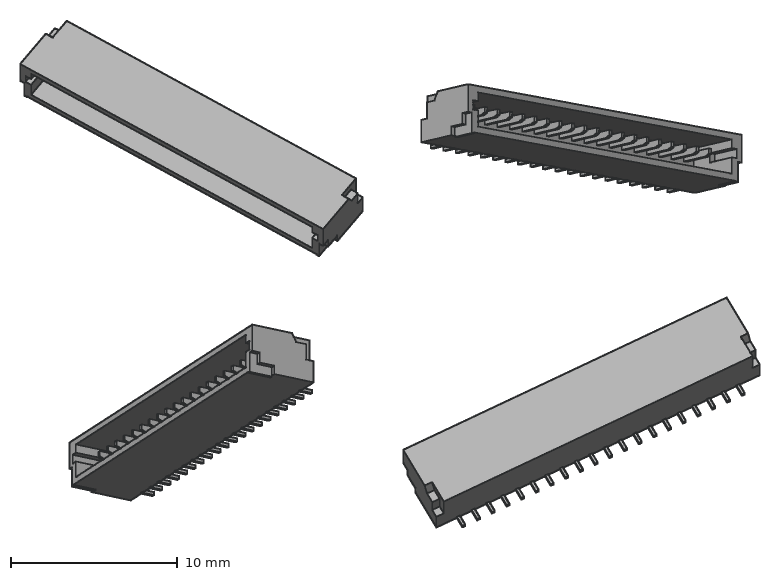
import cadquery as cq

length = 22.0
body_depth = 4.25
standoff = 0.06
top_z = 2.96
tail_reach = 0.70
front_y = -(body_depth + tail_reach) / 2
rear_y = front_y + body_depth
half_length = length / 2

cavity_end_wall = 0.80
cavity_wall = 0.40
rear_wall = 0.80
cavity_depth = body_depth - rear_wall
slot_end_wall = 0.40
slot_top_drop = 0.93
slot_bottom_drop = 1.50
slot_depth = 2.00

relief_width = 0.50
relief_step = 0.53
relief_drop = 1.52
relief_slope_start = 1.20
relief_slope_end = 1.50

pocket_width = 0.50
clip_thickness = 0.20
clip_foot_length = 1.53
clip_foot_height = 0.60
clip_post_length = 0.53
clip_post_height = 1.26

pin_count = 20
pitch = 1.0
pin_width = 0.20
pin_top_drop = 0.87
pin_height = 0.45
pin_tip_height = 0.33
pin_bevel_length = 0.30
pin_tip_setback = 1.20
tail_height = 0.20
tail_embed = 0.10


def block(x_range, y_range, z_range):
    """Axis-aligned box spanning the given ranges."""
    sizes = [high - low for low, high in (x_range, y_range, z_range)]
    corner = (x_range[0], y_range[0], z_range[0])
    return cq.Workplane("XY").box(*sizes, centered=False).translate(corner)


def side_prism(outline, x_start, width):
    """Extrude a (Y, Z) outline along +X from x_start."""
    return cq.Workplane("YZ", origin=(x_start, 0, 0)).polyline(outline).close().extrude(width)


def at_both_ends(shape):
    """Join a feature of the -X end with its mirror image at the +X end."""
    return shape.union(shape.mirror("YZ"))


def make_cavity():
    half_cavity = half_length - cavity_end_wall
    half_slot = half_length - slot_end_wall
    opening = block(
        (-half_cavity, half_cavity),
        (front_y, front_y + cavity_depth),
        (standoff + cavity_wall, top_z - cavity_wall),
    )
    keying_slots = block(
        (-half_slot, half_slot),
        (front_y, front_y + slot_depth),
        (top_z - slot_bottom_drop, top_z - slot_top_drop),
    )
    return opening.union(keying_slots)


def make_rear_relief():
    outline = [
        (rear_y, top_z),
        (rear_y, top_z - relief_drop),
        (rear_y - relief_step, top_z - relief_drop),
        (rear_y - relief_step, top_z - relief_step),
        (rear_y - relief_slope_start, top_z - relief_step),
        (rear_y - relief_slope_end, top_z),
    ]
    return side_prism(outline, -half_length, relief_width)


def make_clip_prism(x_start, width):
    """L-shaped prism shared by the clip and the pocket that holds it."""
    outline = [
        (front_y, 0),
        (front_y + clip_foot_length, 0),
        (front_y + clip_foot_length, clip_foot_height),
        (front_y + clip_post_length, clip_foot_height),
        (front_y + clip_post_length, clip_post_height),
        (front_y, clip_post_height),
    ]
    return side_prism(outline, x_start, width)


def make_pin(x_center):
    x_start = x_center - pin_width / 2
    tip_y = front_y + pin_tip_setback
    root_y = front_y + cavity_depth + rear_wall / 2
    pin_top = top_z - pin_top_drop
    pin_bottom = pin_top - pin_height
    outline = [
        (root_y, pin_top),
        (tip_y, pin_top),
        (tip_y, pin_top - pin_tip_height),
        (tip_y + pin_bevel_length, pin_bottom),
        (root_y, pin_bottom),
    ]
    return side_prism(outline, x_start, pin_width)


def make_tail(x_center):
    return block(
        (x_center - pin_width / 2, x_center + pin_width / 2),
        (rear_y - tail_embed, rear_y + tail_reach),
        (0, tail_height),
    )


housing = block((-half_length, half_length), (front_y, rear_y), (standoff, top_z))
housing = housing.cut(make_cavity())
housing = housing.cut(at_both_ends(make_rear_relief()))
housing = housing.cut(at_both_ends(make_clip_prism(-half_length, pocket_width)))

connector = housing
for index in range(pin_count):
    pin_x = (index - (pin_count - 1) / 2) * pitch
    connector = connector.union(make_pin(pin_x)).union(make_tail(pin_x))

clip_start = -half_length + pocket_width - clip_thickness
clips = at_both_ends(make_clip_prism(clip_start, clip_thickness))
result = connector.union(clips, clean=False)